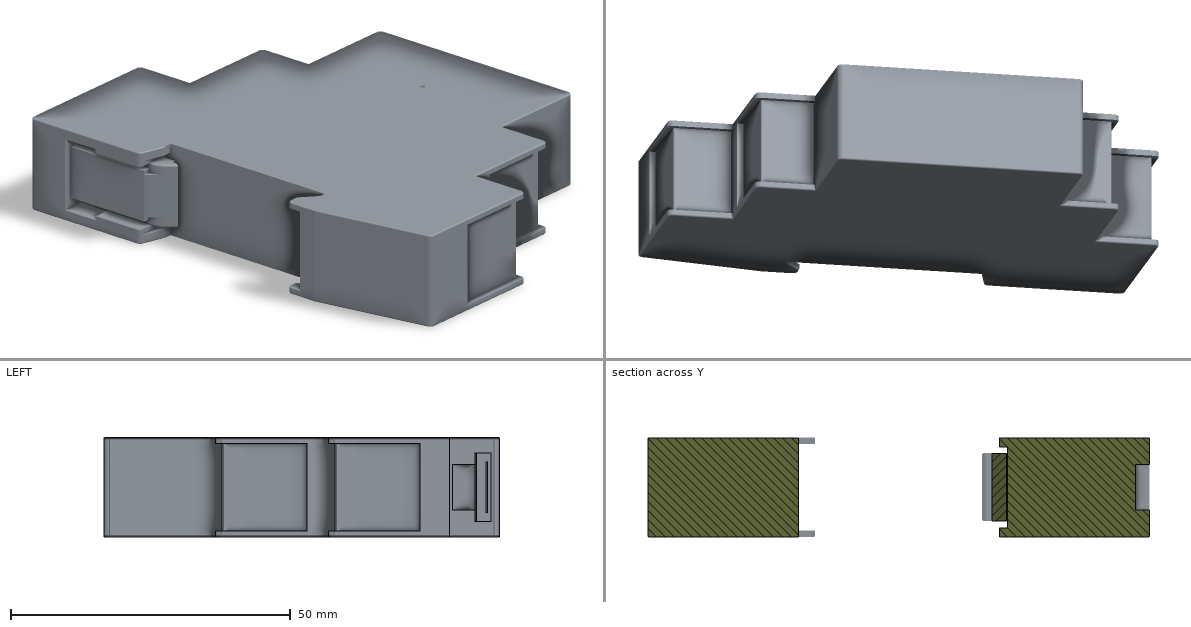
import cadquery as cq

width = 89.8
height = 70.8
depth = 17.8
half_width = width / 2
half_depth = depth / 2

corner_radius = 1.0
edge_radius = 0.3

low_tier_top = 30.6
mid_tier_top = 50.8
mid_half_width = 33.2
top_half_width = 22.45

base_top = 9.0
rail_floor = 6.9
rail_half_width = 17.9
lug_wall_x = -18.0
lug_bend_y = 4.9
lug_end_x = -19.4
hook_tip_x = 14.9
hook_tip_top = 2.25
hook_root_bottom = 5.7
slope_start_x = 21.4
slope_end_y = 4.2
hook_gap_half_depth = 7.7

recess_half_depth = 7.8
recess_setback = 1.2
recess_length = 16.3
recess_corner_radius = 0.3

indicator_diameter = 0.9
indicator_depth = 0.1
indicator_y = 55.8

clip_half_depth = 6.1
clip_front = 1.5
clip_back = 4.1
cavity_back = 4.4
pocket_left_x = -36.7
pocket_step_x = -29.6
pocket_half_depth = 6.9
fork_start_x = -19.4
fork_half_depth = 7.2
window_half_depth = 4.0
window_top = 8.4
arm_front = 3.0
arm_chamfer = 0.3
arm_shoulder_x = -32.7
paddle_half_depth = 4.9
paddle_end_x = -19.7
tooth_start_x = -19.1
tooth_start_y = 1.8
tooth_back_x = -19.3
tooth_neck_x = -16.6
tooth_tip_x = -14.9
tooth_tip_y = 5.3
tooth_shoulder_x = -15.6
tooth_shoulder_y = 5.7
tooth_top = 6.4
wedge_half_depth = 4.1
wedge_end_x = -16.8
slit_half_depth = 4.5
slit_front = 2.2
slit_width = 0.3
slit_depth = 0.3


def block(x_start, x_end, y_start, y_end, half_z):
    """A box centred on Z = 0."""
    size = (x_end - x_start, y_end - y_start, 2 * half_z)
    return cq.Workplane().box(*size, centered=(False, False, True)).translate((x_start, y_start, 0))


def plate(points, half_z):
    """A closed XY outline extruded to both sides of Z = 0."""
    return cq.Workplane().polyline(points).close().extrude(half_z, both=True)


def box_selector(x_start, x_end, y_start, y_end):
    """Selects everything centred inside an XY rectangle, at any Z."""
    return cq.selectors.BoxSelector((x_start, y_start, -depth), (x_end, y_end, depth))


def make_envelope():
    outline = [
        (-half_width, 0),
        (lug_end_x, 0),
        (lug_wall_x, lug_bend_y),
        (lug_wall_x, rail_floor),
        (rail_half_width, rail_floor),
        (rail_half_width, hook_root_bottom),
        (hook_tip_x, hook_tip_top),
        (hook_tip_x, 0),
        (slope_start_x, 0),
        (half_width, slope_end_y),
        (half_width, low_tier_top),
        (mid_half_width, low_tier_top),
        (mid_half_width, mid_tier_top),
        (top_half_width, mid_tier_top),
        (top_half_width, height),
        (-top_half_width, height),
        (-top_half_width, mid_tier_top),
        (-mid_half_width, mid_tier_top),
        (-mid_half_width, low_tier_top),
        (-half_width, low_tier_top),
    ]
    rounded_corners = [
        (-half_width, 0),
        (lug_end_x, 0),
        (hook_tip_x, 0),
        (half_width, slope_end_y),
    ]
    for side in (-1, 1):
        rounded_corners += [
            (side * half_width, low_tier_top),
            (side * mid_half_width, mid_tier_top),
            (side * top_half_width, height),
        ]
    envelope = plate(outline, half_depth)
    reach = 0.1
    for x, y in rounded_corners:
        corner = box_selector(x - reach, x + reach, y - reach, y + reach)
        envelope = envelope.edges("|Z").edges(corner).fillet(corner_radius)

    rim = envelope.faces("|Z").edges()
    channel = box_selector(
        lug_wall_x - reach,
        rail_half_width + reach,
        hook_tip_top + reach,
        rail_floor + reach,
    )
    channel_edges = rim.edges(channel).vals()
    kept = [edge for edge in rim.vals() if not any(edge.isSame(other) for other in channel_edges)]
    return envelope.newObject(kept).fillet(edge_radius)


def make_housing(envelope):
    housing = envelope.intersect(block(-half_width, half_width, base_top, height, half_depth))
    for tier_half_width, tier_top, inner_x in (
        (half_width, low_tier_top, mid_half_width),
        (mid_half_width, mid_tier_top, top_half_width),
    ):
        floor_x = tier_half_width - recess_setback
        floor_y = tier_top - recess_setback
        recess_bottom = tier_top - recess_length
        core = block(inner_x, floor_x, recess_bottom, floor_y, recess_half_depth)
        core = core.edges("|Z and >X and >Y").fillet(recess_corner_radius)
        recess = block(inner_x, tier_half_width, recess_bottom, tier_top, recess_half_depth).cut(core)
        housing = housing.cut(recess).cut(recess.mirror("YZ"))
    indicator = cq.Workplane(origin=(0, indicator_y, half_depth - indicator_depth))
    return housing.cut(indicator.circle(indicator_diameter / 2).extrude(indicator_depth))


def make_base(envelope):
    base = envelope.intersect(block(-half_width, half_width, 0, base_top, half_depth))
    hook_gap = block(hook_tip_x, rail_half_width, 0, rail_floor, hook_gap_half_depth)
    clip_slot = block(-half_width, pocket_left_x, clip_front, cavity_back, clip_half_depth)
    wide_pocket = block(pocket_left_x, pocket_step_x, 0, cavity_back, pocket_half_depth)
    narrow_pocket = block(pocket_step_x, fork_start_x, 0, cavity_back, clip_half_depth)
    fork = block(fork_start_x, lug_wall_x, 0, rail_floor, fork_half_depth)
    window_reach = window_top - cavity_back
    window = plate(
        [
            (-half_width, window_top),
            (-half_width, cavity_back),
            (-half_width + window_reach, cavity_back),
        ],
        window_half_depth,
    )
    for opening in (hook_gap, clip_slot, wide_pocket, narrow_pocket, fork, window):
        base = base.cut(opening)
    return base


def make_arm(wedge_end):
    """The flat arm that curves up into the tooth gripping the rail."""
    outline = (
        cq.Workplane()
        .moveTo(pocket_left_x, arm_front)
        .lineTo(tooth_start_x, arm_front)
        .tangentArcPoint(wedge_end, relative=False)
        .lineTo(tooth_tip_x, tooth_tip_y)
        .lineTo(tooth_shoulder_x, tooth_shoulder_y)
        .lineTo(tooth_neck_x, tooth_shoulder_y)
        .lineTo(tooth_neck_x, tooth_top)
        .lineTo(tooth_back_x, tooth_top)
        .lineTo(tooth_back_x, clip_back)
        .lineTo(pocket_left_x, clip_back)
        .close()
    )
    arm = outline.extrude(clip_half_depth, both=True)
    reach = 0.1
    front = box_selector(pocket_left_x + reach, tooth_tip_x, 0, clip_back - reach)
    front_and_tip = front + box_selector(wedge_end_x, tooth_tip_x, wedge_end[1], tooth_tip_y)
    arm = arm.faces("|Z").edges(front_and_tip).chamfer(arm_chamfer)
    shoulder = block(pocket_left_x, arm_shoulder_x, arm_front, clip_back, clip_half_depth)
    return arm.union(shoulder)


def make_clip():
    """Slotted head, thumb paddle and arm, joined in one piece."""
    head = block(-half_width, pocket_left_x, clip_front, clip_back, clip_half_depth)
    slit_back = slit_front + slit_width
    slit = block(-half_width, -half_width + slit_depth, slit_front, slit_back, slit_half_depth)
    paddle = block(pocket_left_x, paddle_end_x, clip_front, arm_front, paddle_half_depth)

    tooth_slope = (tooth_tip_y - tooth_start_y) / (tooth_tip_x - tooth_start_x)
    wedge_end = (wedge_end_x, tooth_start_y + tooth_slope * (wedge_end_x - tooth_start_x))
    wedge = plate(
        [
            (paddle_end_x, clip_front),
            (tooth_start_x, tooth_start_y),
            wedge_end,
            (wedge_end_x, clip_back),
            (paddle_end_x, clip_back),
        ],
        wedge_half_depth,
    )
    return head.cut(slit).union(make_arm(wedge_end)).union(paddle).union(wedge)


envelope = make_envelope()
housing = make_housing(envelope)
base = make_base(envelope)
clip = make_clip()

result = cq.Compound.makeCompound([body.solids().val() for body in (housing, base, clip)])